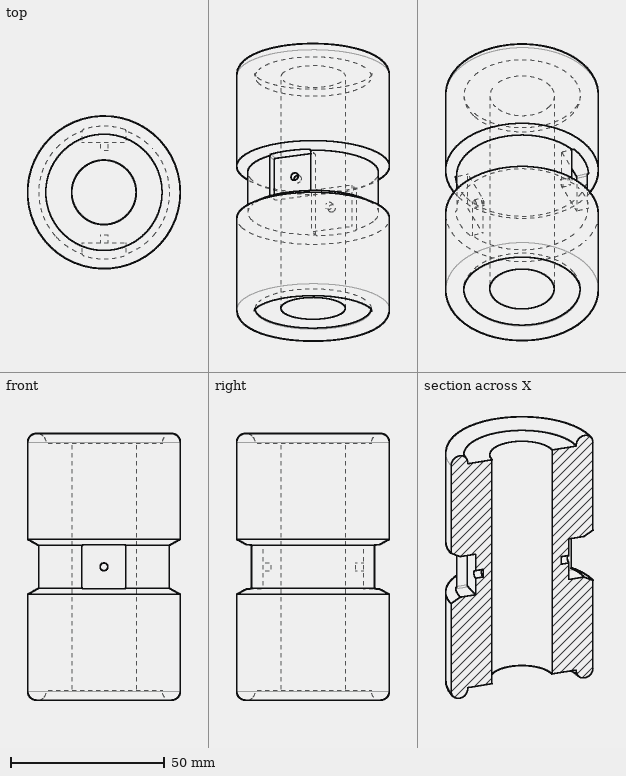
import cadquery as cq

length = 87.2
outer_diameter = 50.0
bore_diameter = 21.0
recess_diameter = 38.0
recess_depth = 3.3
neck_diameter = 42.7
neck_height = 13.95
groove_height = 18.0
pocket_size = 14.4
pocket_corner_radius = 0.5
pocket_floor_offset = 16.4
pin_hole_diameter = 2.5
pin_hole_depth = 2.6

outer_radius = outer_diameter / 2
bore_radius = bore_diameter / 2
recess_radius = recess_diameter / 2
neck_radius = neck_diameter / 2
rim_radius = (outer_radius - recess_radius) / 2
rim_center_radius = recess_radius + rim_radius
half_length = length / 2
rim_base = half_length - rim_radius
end_face = half_length - recess_depth
half_neck = neck_height / 2
half_groove = groove_height / 2


def make_body():
    """Revolve the bored spool, with a half-round rim at each end."""
    profile = (
        cq.Workplane("XZ")
        .moveTo(bore_radius, -end_face)
        .lineTo(recess_radius, -end_face)
        .lineTo(recess_radius, -rim_base)
        .threePointArc((rim_center_radius, -half_length), (outer_radius, -rim_base))
        .lineTo(outer_radius, -half_groove)
        .lineTo(neck_radius, -half_neck)
        .lineTo(neck_radius, half_neck)
        .lineTo(outer_radius, half_groove)
        .lineTo(outer_radius, rim_base)
        .threePointArc((rim_center_radius, half_length), (recess_radius, rim_base))
        .lineTo(recess_radius, end_face)
        .lineTo(bore_radius, end_face)
        .close()
    )
    return profile.revolve(360, (0, 0, 0), (0, 1, 0))


def make_pocket_cutter(side):
    """Round-cornered square pocket with a blind pin hole in its floor; side is -1 or 1 along Y."""
    floor = cq.Workplane("XZ", origin=(0, side * pocket_floor_offset, 0))
    pocket = floor.rect(pocket_size, pocket_size).extrude(-side * (outer_radius - pocket_floor_offset))
    pocket = pocket.edges("|Y").fillet(pocket_corner_radius)
    pin_hole = floor.circle(pin_hole_diameter / 2).extrude(side * pin_hole_depth)
    return pocket.union(pin_hole)


result = make_body()
for side in (-1, 1):
    result = result.cut(make_pocket_cutter(side))